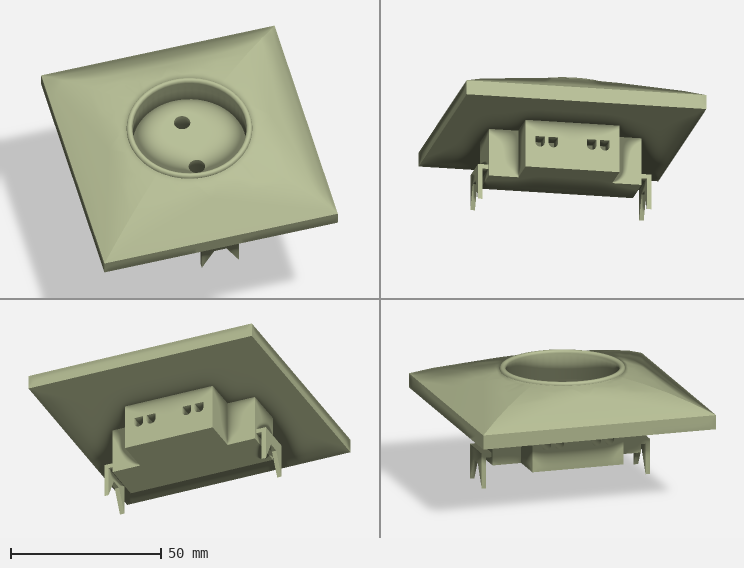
import cadquery as cq
import math

plate_x = 81.5
plate_y = 80.5
plate_height = 4.9

dome_rise = 8.9
crease_bulge = 1.15
side_bulge = 1.4
opening_diameter = 38.0
bead_thickness = 1.95
recess_floor_z = plate_height

pin_hole_diameter = 5.5
pin_spacing = 19.0
pin_hole_depth = 9.8

body_height = 16.3
body_back_y = 10.1
body_step_y = -4.65
body_front_y = -16.8
wide_body_x = 51.9
narrow_body_x = 31.95

entry_width = 3.2
entry_height = 3.6
entry_depth = 6.5
entry_top_z = -5.5
entry_inner_x = 6.5
entry_outer_x = 11.0

claw_span_x = 58.9
claw_thickness = 1.55
claw_top_z = -12.15
claw_bottom_z = -24.3
claw_width = 12.8
claw_center_y = 2.8
claw_notch_top_z = -16.55
claw_notch_top_width = 4.2

dome_top_z = plate_height + dome_rise
dome_top_radius = (opening_diameter + bead_thickness) / 2


def ring_point(angle):
    return cq.Vector(dome_top_radius * math.cos(angle), dome_top_radius * math.sin(angle), dome_top_z)


def bowed_middle(low, high, bulge):
    """Middle of an arc bowed away from the straight line between two points."""
    run = math.hypot(high.x - low.x, high.y - low.y)
    rise = high.z - low.z
    length = math.hypot(run, rise)
    outward_x = (low.x - high.x) / run * rise / length
    outward_y = (low.y - high.y) / run * rise / length
    normal = cq.Vector(outward_x, outward_y, run / length)
    return (low + high) * 0.5 + normal * bulge


def make_cover():
    """Plate and dome as one closed shell of flat and bowed faces."""
    signs = [(1, 1), (-1, 1), (-1, -1), (1, -1)]
    corners = [cq.Vector(sx * plate_x / 2, sy * plate_y / 2, plate_height) for sx, sy in signs]
    feet = [cq.Vector(corner.x, corner.y, 0) for corner in corners]
    angles = [math.atan2(corner.y, corner.x) for corner in corners]
    rims = [ring_point(angle) for angle in angles]
    creases = [
        cq.Edge.makeThreePointArc(corner, bowed_middle(corner, rim, crease_bulge), rim)
        for corner, rim in zip(corners, rims)
    ]

    faces = [cq.Face.makeFromWires(cq.Wire.makePolygon(feet, close=True))]
    rim_arcs = []
    for i in range(len(corners)):
        j = (i + 1) % len(corners)
        side = [feet[i], feet[j], corners[j], corners[i]]
        faces.append(cq.Face.makeFromWires(cq.Wire.makePolygon(side, close=True)))

        side_angle = (i + 1) * math.pi / 2
        rim_middle = ring_point(side_angle)
        rim_arc = cq.Edge.makeThreePointArc(rims[i], rim_middle, rims[j])
        rim_arcs.append(rim_arc)
        base_edge = cq.Edge.makeLine(corners[i], corners[j])
        base_middle = (corners[i] + corners[j]) * 0.5
        outline = [base_edge, creases[j], rim_arc, creases[i]]
        side_middle = bowed_middle(base_middle, rim_middle, side_bulge)
        faces.append(cq.Face.makeNSidedSurface(outline, [side_middle]))

    faces.append(cq.Face.makeFromWires(cq.Wire.assembleEdges(rim_arcs)))
    return cq.Workplane(cq.Solid.makeSolid(cq.Shell.makeShell(faces)))


def make_bead():
    bead = cq.Solid.makeTorus(dome_top_radius, bead_thickness / 2)
    return cq.Workplane(bead).translate((0, 0, dome_top_z))


def make_body_block(width, front_y):
    depth = body_back_y - front_y
    return (
        cq.Workplane()
        .box(width, depth, body_height, centered=(True, False, False))
        .translate((0, front_y, -body_height))
    )


def make_claw():
    """Claw on the +X end: an arm out of the body, bent down into a forked blade."""
    outer_x = claw_span_x / 2
    arm_start_x = wide_body_x / 2 - claw_thickness
    half_width = claw_width / 2
    half_notch = claw_notch_top_width / 2
    blade = (
        cq.Workplane("YZ", origin=(outer_x - claw_thickness, claw_center_y, 0))
        .polyline([
            (-half_width, claw_top_z),
            (half_width, claw_top_z),
            (half_width, claw_bottom_z),
            (half_notch, claw_notch_top_z),
            (-half_notch, claw_notch_top_z),
            (-half_width, claw_bottom_z),
        ])
        .close()
        .extrude(claw_thickness)
    )
    arm = (
        cq.Workplane()
        .box(outer_x - arm_start_x, claw_width, claw_thickness, centered=(False, True, False))
        .translate((arm_start_x, claw_center_y, claw_top_z - claw_thickness))
    )
    return blade.union(arm)


def make_wire_entry(center_x):
    """Flat-topped, round-bottomed pocket cutter."""
    radius = entry_width / 2
    return (
        cq.Workplane("XZ", origin=(center_x, body_front_y, entry_top_z))
        .moveTo(-radius, 0)
        .lineTo(radius, 0)
        .lineTo(radius, radius - entry_height)
        .threePointArc((0, -entry_height), (-radius, radius - entry_height))
        .close()
        .extrude(-entry_depth)
    )


def make_recess():
    recess_top_z = dome_top_z + bead_thickness
    return (
        cq.Workplane(origin=(0, 0, recess_floor_z))
        .circle(opening_diameter / 2)
        .extrude(recess_top_z - recess_floor_z)
    )


def make_pin_holes():
    return (
        cq.Workplane(origin=(0, 0, recess_floor_z))
        .pushPoints([(-pin_spacing / 2, 0), (pin_spacing / 2, 0)])
        .circle(pin_hole_diameter / 2)
        .extrude(-pin_hole_depth)
    )


claw = make_claw()
result = (
    make_cover()
    .union(make_bead())
    .union(make_body_block(wide_body_x, body_step_y))
    .union(make_body_block(narrow_body_x, body_front_y))
    .union(claw)
    .union(claw.mirror("YZ"))
    .cut(make_recess())
    .cut(make_pin_holes())
)
for entry_x in (-entry_outer_x, -entry_inner_x, entry_inner_x, entry_outer_x):
    result = result.cut(make_wire_entry(entry_x))